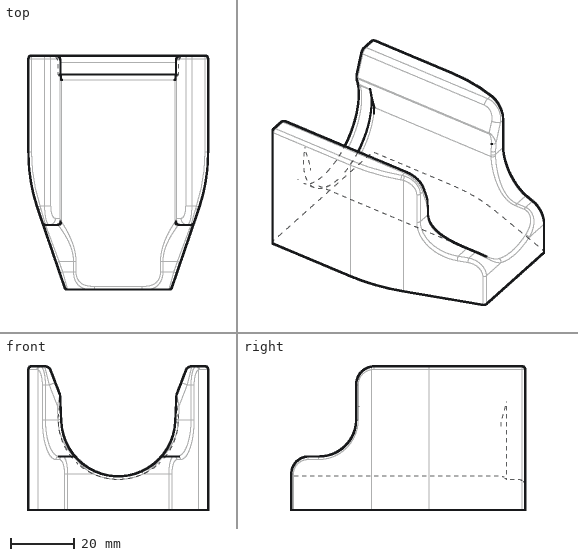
import cadquery as cq
import math

width = 56.75
length = 73.8
height = 45.4

flank_length = 30.3
arc_radius = 56.0
taper_angle = math.radians(18.9)

shoulder_depth = 53.35
shoulder_fillet = 5.9
nose_height = 17.0
step_fillet = 11.5
nose_fillet = 5.6

trough_radius = 17.9
trough_axis_height = 28.6
throat_half_width = 18.3
throat_height = 36.3
lip_angle = math.radians(21)

rim_radius = 19.0
rim_length = 6.0
rim_step_radius = 2.0
rim_mouth_fillet = 2.2

edge_fillet = 1.0
lip_fillet = 2.1

half_width = width / 2
mouth_half_width = throat_half_width + (height - throat_height) * math.tan(lip_angle)
back = length / 2
nose = -length / 2


def plan_block():
    """Full-height block with the plan outline, symmetric about the YZ plane."""
    arc_start = back - flank_length
    arc_end = arc_start - arc_radius * math.sin(taper_angle)
    arc_middle = arc_start - arc_radius * math.sin(taper_angle / 2)
    arc_end_x = half_width - arc_radius * (1 - math.cos(taper_angle))
    arc_middle_x = half_width - arc_radius * (1 - math.cos(taper_angle / 2))
    nose_x = arc_end_x - (arc_end - nose) * math.tan(taper_angle)
    return (
        cq.Workplane("XY")
        .moveTo(-half_width, back)
        .lineTo(half_width, back)
        .lineTo(half_width, arc_start)
        .threePointArc((arc_middle_x, arc_middle), (arc_end_x, arc_end))
        .lineTo(nose_x, nose)
        .lineTo(-nose_x, nose)
        .lineTo(-arc_end_x, arc_end)
        .threePointArc((-arc_middle_x, arc_middle), (-half_width, arc_start))
        .close()
        .extrude(height)
    )


def side_profile():
    """Side outline, swept across the full width: high at the back, stepping down to the nose."""
    shoulder = back - shoulder_depth
    return (
        cq.Workplane("YZ")
        .moveTo(back, 0)
        .lineTo(back, height)
        .lineTo(shoulder + shoulder_fillet, height)
        .tangentArcPoint((-shoulder_fillet, -shoulder_fillet))
        .lineTo(shoulder, nose_height + step_fillet)
        .tangentArcPoint((-step_fillet, -step_fillet))
        .lineTo(nose + nose_fillet, nose_height)
        .tangentArcPoint((-nose_fillet, -nose_fillet))
        .lineTo(nose, 0)
        .close()
        .extrude(half_width, both=True)
    )


def trough():
    """Open channel along Y whose walls run tangent into the round bottom."""
    throat_rise = throat_height - trough_axis_height
    throat_distance = math.hypot(throat_half_width, throat_rise)
    wall_lean = math.acos(trough_radius / throat_distance) - math.atan2(throat_rise, throat_half_width)
    wall_foot_x = trough_radius * math.cos(wall_lean)
    wall_foot_z = trough_axis_height - trough_radius * math.sin(wall_lean)
    return (
        cq.Workplane("XZ", origin=(0, back, 0))
        .moveTo(-mouth_half_width, height)
        .lineTo(-throat_half_width, throat_height)
        .lineTo(-wall_foot_x, wall_foot_z)
        .threePointArc((0, trough_axis_height - trough_radius), (wall_foot_x, wall_foot_z))
        .lineTo(throat_half_width, throat_height)
        .lineTo(mouth_half_width, height)
        .close()
        .extrude(length)
    )


def rim():
    """Round seat about the trough axis, blending into the trough over a rounded step."""
    step_depth = rim_radius - trough_radius
    step_angle = math.acos(1 - step_depth / rim_step_radius)
    step_start = back - rim_length
    step_end = step_start - rim_step_radius * math.sin(step_angle)
    step_middle = (
        trough_radius + rim_step_radius * (1 - math.cos(step_angle / 2)),
        step_end + rim_step_radius * math.sin(step_angle / 2),
    )
    return (
        cq.Workplane("XY", origin=(0, 0, trough_axis_height))
        .moveTo(0, back)
        .lineTo(rim_radius, back)
        .lineTo(rim_radius, step_start)
        .threePointArc(step_middle, (trough_radius, step_end))
        .lineTo(0, step_end)
        .close()
        .revolve(360, (0, 0), (0, 1))
    )


body = plan_block().faces(">Y").edges("|Z").fillet(edge_fillet)
body = body.intersect(side_profile()).cut(trough()).cut(rim())

lip_reach = (mouth_half_width + half_width) / 2
lip_zone = cq.selectors.BoxSelector((-lip_reach, nose, 0), (lip_reach, back, 2 * height))
body = body.faces(">Z").edges("|Y").edges(lip_zone).fillet(lip_fillet)
body = body.faces("<Y").edges("%CIRCLE").fillet(edge_fillet)
body = body.faces(">Y").edges("%CIRCLE").edges("<Z").fillet(rim_mouth_fillet)

body = body.faces(">Y").edges("not(|Z or %CIRCLE or <Z)").fillet(edge_fillet)

result = body